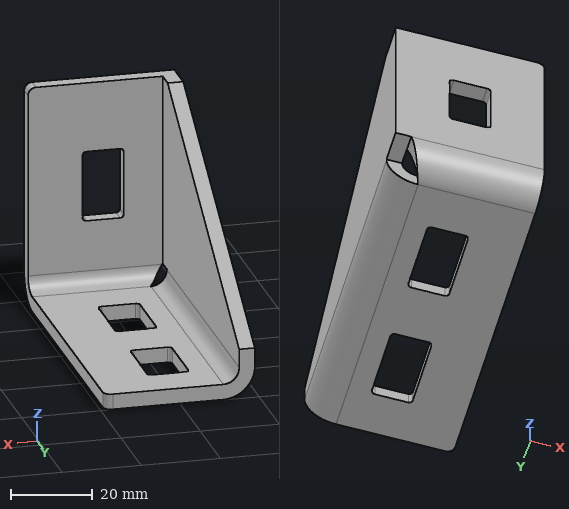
import cadquery as cq

width = 38.0
depth = 80.0
height = 57.0
sheet = 4.0
bend_radius = 2 * sheet
corner_radius = 2.0

side_top_length = 9.0
side_end_height = 12.8

slot_width = 10.4
slot_length = 18.0
slot_corner_radius = 1.0
slot_x = width / 2
wall_slot_z = 30.0
base_slot_ys = (28.0, 60.0)


def box(x0, x1, y0, y1, z0, z1):
    """Box between two opposite corners."""
    return cq.Workplane("XY").box(x1 - x0, y1 - y0, z1 - z0, centered=False).translate((x0, y0, z0))


def bend_sheet(plane, length):
    """Quarter ring in the lower left quadrant about the plane's origin, extruded along its normal."""
    ring = cq.Workplane(plane).circle(bend_radius).circle(bend_radius - sheet).extrude(length)
    quadrant = (
        cq.Workplane(plane)
        .rect(-bend_radius, -bend_radius, centered=False)
        .extrude(length)
    )
    return ring.intersect(quadrant)


def side_plate():
    return (
        cq.Workplane("YZ")
        .moveTo(0, bend_radius)
        .lineTo(depth, bend_radius)
        .lineTo(depth, side_end_height)
        .lineTo(side_top_length, height)
        .lineTo(0, height)
        .close()
        .extrude(sheet)
    )


def front_wall():
    wall = box(sheet, width, 0, sheet, bend_radius, height)
    wall = wall.edges("|Y and >X and >Z").fillet(corner_radius)
    slot = box(0, slot_width, 0, sheet, 0, slot_length).edges("|Y").fillet(slot_corner_radius)
    return wall.cut(slot.translate((slot_x - slot_width / 2, 0, wall_slot_z - slot_length / 2)))


def base():
    plate = box(bend_radius, width, bend_radius, depth, 0, sheet)
    plate = plate.edges("|Z and >X and >Y").fillet(corner_radius)
    slot = box(0, slot_width, 0, slot_length, 0, sheet).edges("|Z").fillet(slot_corner_radius)
    for slot_y in base_slot_ys:
        plate = plate.cut(slot.translate((slot_x - slot_width / 2, slot_y - slot_length / 2, 0)))
    return plate


def side_bend():
    """Bend joining the base to the side plate, stopping short of the front bend."""
    plane = cq.Plane(origin=(bend_radius, depth, bend_radius), xDir=(1, 0, 0), normal=(0, -1, 0))
    return bend_sheet(plane, depth - bend_radius)


def front_bend():
    """Bend joining the base to the front wall."""
    plane = cq.Plane(origin=(bend_radius, bend_radius, bend_radius), xDir=(0, 1, 0), normal=(1, 0, 0))
    return bend_sheet(plane, width - bend_radius)


def front_bend_relief():
    """Inner end of the front bend, tapering helically from the base up to the front wall."""
    length = bend_radius - sheet
    plane = cq.Plane(origin=(sheet, bend_radius, bend_radius), xDir=(0, 1, 0), normal=(1, 0, 0))
    reach = 2 * bend_radius
    twisted_quadrant = (
        cq.Workplane(plane)
        .rect(-reach, reach, centered=False)
        .twistExtrude(length, 90)
    )
    return bend_sheet(plane, length).intersect(twisted_quadrant)


result = (
    base()
    .union(side_bend())
    .union(side_plate())
    .union(front_bend())
    .union(front_bend_relief())
    .union(front_wall())
)